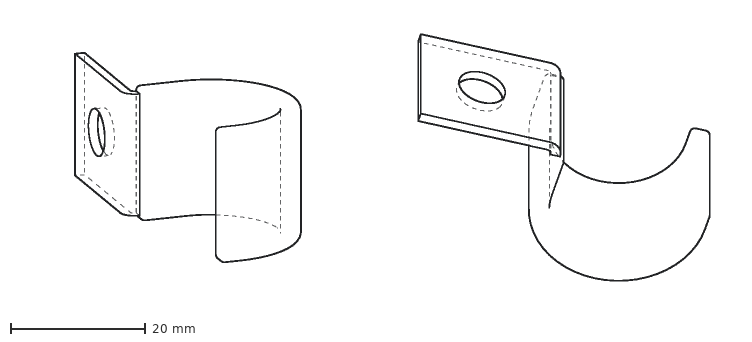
import cadquery as cq

total_length = 46.75
total_depth = 22.95
sleeve_height = 20.6

outer_radius = 13.4
sleeve_thickness = 3.1
edge_radius = 0.8
tab_leg_end_y = 2.25
free_leg_end_y = 6.3

strap_thickness = 1.5
inner_bend_radius = 0.75
hole_diameter = 7.15
hole_center_x = 9.5

inner_radius = outer_radius - sleeve_thickness
arc_center_x = total_length - outer_radius
arc_center_y = total_depth - outer_radius
sleeve_left_x = arc_center_x - outer_radius
strap_left_x = sleeve_left_x + (sleeve_thickness - strap_thickness) / 2
strap_right_x = strap_left_x + strap_thickness
strap_height = sleeve_height - 2 * edge_radius
strap_leg_end_y = tab_leg_end_y + sleeve_thickness / 2
outer_bend_radius = inner_bend_radius + strap_thickness


def make_sleeve():
    """Half-round band with legs of unequal length and all edges rounded."""
    band = (
        cq.Workplane("XY", origin=(0, 0, -sleeve_height / 2))
        .moveTo(sleeve_left_x, tab_leg_end_y)
        .lineTo(sleeve_left_x, arc_center_y)
        .threePointArc((arc_center_x, total_depth), (total_length, arc_center_y))
        .lineTo(total_length, free_leg_end_y)
        .lineTo(total_length - sleeve_thickness, free_leg_end_y)
        .lineTo(arc_center_x + inner_radius, arc_center_y)
        .threePointArc(
            (arc_center_x, arc_center_y + inner_radius),
            (arc_center_x - inner_radius, arc_center_y),
        )
        .lineTo(arc_center_x - inner_radius, tab_leg_end_y)
        .close()
        .extrude(sleeve_height)
    )
    end_corners = band.edges("|Z").edges(
        cq.selectors.BoxSelector(
            (0, 0, -sleeve_height),
            (2 * total_length, (free_leg_end_y + arc_center_y) / 2, sleeve_height),
        )
    )
    return end_corners.fillet(edge_radius).faces("<Z or >Z").edges().fillet(edge_radius)


def make_strap():
    """Bent strap: a flat tab with a screw hole and a leg embedded in the sleeve."""
    strap = (
        cq.Workplane("XY", origin=(0, 0, -strap_height / 2))
        .lineTo(strap_right_x - outer_bend_radius, 0)
        .radiusArc((strap_right_x, outer_bend_radius), -outer_bend_radius)
        .lineTo(strap_right_x, strap_leg_end_y)
        .lineTo(strap_left_x, strap_leg_end_y)
        .lineTo(strap_left_x, strap_thickness + inner_bend_radius)
        .radiusArc((strap_left_x - inner_bend_radius, strap_thickness), inner_bend_radius)
        .lineTo(0, strap_thickness)
        .close()
        .extrude(strap_height)
    )
    hole = (
        cq.Workplane("XZ")
        .center(hole_center_x, 0)
        .circle(hole_diameter / 2)
        .extrude(strap_thickness, both=True)
    )
    return strap.cut(hole)


result = make_sleeve().union(make_strap())